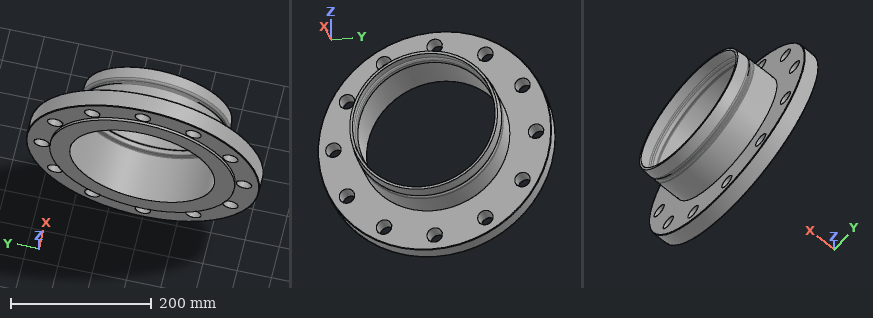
import math
import cadquery as cq

length = 101.6
flange_diameter = 340.11
flange_thickness = 26.0
flange_edge_chamfer = 1.0
raised_face_diameter = 269.75
raised_face_height = 4.1
flange_back = raised_face_height + flange_thickness

bolt_count = 12
bolt_hole_diameter = 22.1
bolt_circle_diameter = 295.0

pipe_diameter = 219.07
bore_diameter = 211.2
roll_depth = 3.76
pipe_end_taper = 1.9

near_arc_radius = 1.5
near_flank_angle = math.radians(60)

groove_floor_start = 76.9
groove_floor_end = 78.2
groove_root_radius = 1.6
groove_lip_radius = 4.4

bead_crest_start = 74.8
bead_crest_end = 81.0
bead_crest_radius = 2.0
bead_lip_radius = 2.0


def make_flange():
    """Flange disc with chamfered rims and the raised face in front of it."""
    disc = cq.Workplane("YZ", origin=(raised_face_height, 0, 0))
    disc = disc.circle(flange_diameter / 2).extrude(flange_thickness)
    disc = disc.edges().chamfer(flange_edge_chamfer)
    raised_face = cq.Workplane("YZ").circle(raised_face_diameter / 2).extrude(flange_back)
    return disc.union(raised_face)


def rolled_body(diameter, floor_start, floor_end, root_radius, lip_radius):
    """Solid of revolution that dips by the roll depth, then tapers to the pipe end.

    The near flank is a straight slope between two equal arcs; on the far flank a root arc
    runs straight into a lip arc.
    """
    surface = diameter / 2
    floor = surface - roll_depth

    near_run = near_arc_radius * math.sin(near_flank_angle)
    near_drop = near_arc_radius * (1 - math.cos(near_flank_angle))
    slope_run = (roll_depth - 2 * near_drop) / math.tan(near_flank_angle)
    slope_end = floor_start - near_run
    slope_start = slope_end - slope_run

    far_flank_angle = math.acos(1 - roll_depth / (root_radius + lip_radius))
    blend_x = floor_end + root_radius * math.sin(far_flank_angle)
    blend_y = floor + root_radius * (1 - math.cos(far_flank_angle))
    far_edge = blend_x + lip_radius * math.sin(far_flank_angle)

    return (
        cq.Workplane("XY")
        .lineTo(0, surface)
        .lineTo(slope_start - near_run, surface)
        .radiusArc((slope_start, surface - near_drop), near_arc_radius)
        .lineTo(slope_end, floor + near_drop)
        .radiusArc((floor_start, floor), -near_arc_radius)
        .lineTo(floor_end, floor)
        .radiusArc((blend_x, blend_y), -root_radius)
        .radiusArc((far_edge, surface), lip_radius)
        .lineTo(length, surface - pipe_end_taper)
        .lineTo(length, 0)
        .close()
        .revolve(360, (0, 0, 0), (1, 0, 0))
    )


def make_neck():
    """Solid pipe with the groove rolled into its outside."""
    return rolled_body(
        pipe_diameter, groove_floor_start, groove_floor_end, groove_root_radius, groove_lip_radius
    )


def make_bore():
    """Inside of the pipe, narrowed by the bead."""
    return rolled_body(
        bore_diameter, bead_crest_start, bead_crest_end, bead_crest_radius, bead_lip_radius
    )


def make_bolt_holes():
    return (
        cq.Workplane("YZ")
        .polarArray(bolt_circle_diameter / 2, 0, 360, bolt_count)
        .circle(bolt_hole_diameter / 2)
        .extrude(flange_back)
    )


result = make_flange().union(make_neck()).cut(make_bore()).cut(make_bolt_holes())